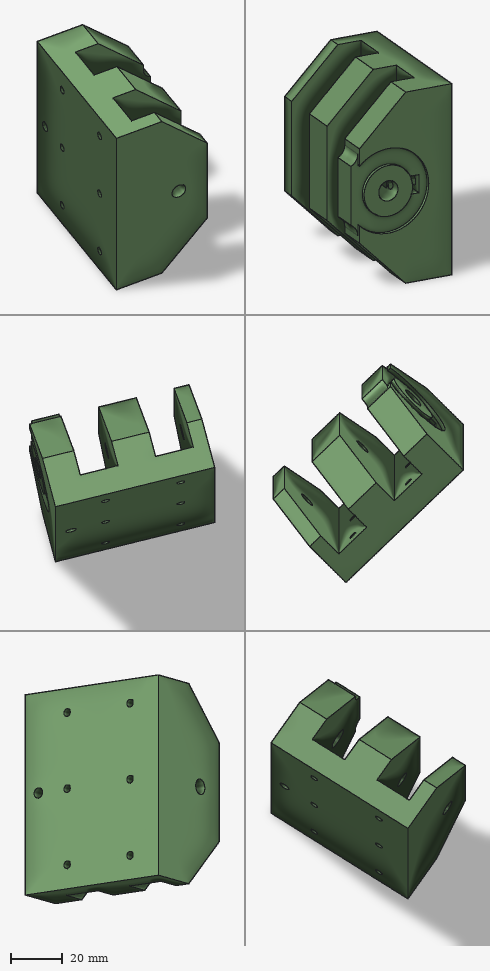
import cadquery as cq
import math

LENGTH = 63.5
WALL_TOP = 40.0
HEIGHT = 79.0
CHAMFER = 20.0
FLOOR = 10.0

CHANNEL_WIDTH = 15.0
END_WALL = 12.5
CHANNEL_PITCH = 30.0
CHANNEL_STARTS = [END_WALL, END_WALL + CHANNEL_PITCH]

AXIS_Y = 27.5
SHAFT_BORE_DIA = 6.0
HUB_BORE_DIA = 8.3
BORE_FLAT_OFFSET = 3.45

RECESS_DIA = 35.0
RECESS_DEPTH = 1.5
HUB_DIA = 21.0

LUG_HEIGHT = 3.0
LUG_TOP = WALL_TOP + LUG_HEIGHT
LUG_HALF_WIDTH = math.sqrt((RECESS_DIA / 2) ** 2 - (WALL_TOP - AXIS_Y) ** 2)
LUG_FLANK_RADIUS = 5.0

SCREW_DIA = 4.0
SCREW_X = END_WALL / 2
NUT_THICKNESS = 3.5
NUT_WIDTH = 7.5
NUT_POCKET_END = SCREW_X + NUT_WIDTH / 2

MOUNT_DIA = 3.0
MOUNT_PITCH_Z = 30.0


def box(x_range, y_range, z_range):
    """Axis-aligned box between the given limits."""
    (x0, x1), (y0, y1), (z0, z1) = x_range, y_range, z_range
    return cq.Workplane("XY").box(x1 - x0, y1 - y0, z1 - z0, centered=False).translate((x0, y0, z0))


def shaft_cylinder(diameter, x_start, x_end):
    """Cylinder on the shaft axis."""
    start = cq.Vector(x_start, AXIS_Y, 0)
    return cq.Workplane(cq.Solid.makeCylinder(diameter / 2, x_end - x_start, start, cq.Vector(1, 0, 0)))


def cross_hole(diameter, x, z, depth):
    """Cylinder running from the mounting face along +Y."""
    return cq.Workplane(cq.Solid.makeCylinder(diameter / 2, depth, cq.Vector(x, 0, z), cq.Vector(0, 1, 0)))


def make_body():
    """Block with both upper edges chamfered, cut by the channels."""
    half = HEIGHT / 2
    outline = [
        (0, -half),
        (WALL_TOP - CHAMFER, -half),
        (WALL_TOP, -half + CHAMFER),
        (WALL_TOP, half - CHAMFER),
        (WALL_TOP - CHAMFER, half),
        (0, half),
    ]
    body = cq.Workplane("YZ").polyline(outline).close().extrude(LENGTH)
    for start in CHANNEL_STARTS:
        body = body.cut(box((start, start + CHANNEL_WIDTH), (FLOOR, WALL_TOP), (-half, half)))
    return body


def make_lug():
    """Flat-topped lug whose sides sweep out to the wall top."""
    sweep = math.acos(1 - LUG_HEIGHT / LUG_FLANK_RADIUS)
    half_sweep = sweep / 2
    foot = LUG_HALF_WIDTH + LUG_FLANK_RADIUS * math.sin(sweep)
    arc_y = WALL_TOP + LUG_FLANK_RADIUS * (1 - math.cos(half_sweep))
    arc_z = foot - LUG_FLANK_RADIUS * math.sin(half_sweep)
    profile = (
        cq.Workplane("YZ", origin=(RECESS_DEPTH, 0, 0))
        .moveTo(LUG_TOP, -LUG_HALF_WIDTH)
        .lineTo(LUG_TOP, LUG_HALF_WIDTH)
        .threePointArc((arc_y, arc_z), (WALL_TOP, foot))
        .lineTo(WALL_TOP, -foot)
        .threePointArc((arc_y, -arc_z), (LUG_TOP, -LUG_HALF_WIDTH))
        .close()
    )
    return profile.extrude(END_WALL - RECESS_DEPTH)


def cut_recess(body):
    """Annular recess that leaves the hub standing on its floor."""
    recess = shaft_cylinder(RECESS_DIA, 0, RECESS_DEPTH)
    hub = shaft_cylinder(HUB_DIA, 0, RECESS_DEPTH)
    return body.cut(recess.cut(hub))


def cut_shaft_bores(body):
    """Wide bore in the thick end wall, narrow bore through the other walls.

    Past the clamp screw the wide bore is D-shaped, with a flat on the side of the mounting face.
    """
    radius = HUB_BORE_DIA / 2
    flat_start = SCREW_X + SCREW_DIA / 2
    flat_y = AXIS_Y - BORE_FLAT_OFFSET
    flat_land = box((flat_start, END_WALL), (AXIS_Y - radius, flat_y), (-radius, radius))
    hub_bore = shaft_cylinder(HUB_BORE_DIA, 0, END_WALL).cut(flat_land)
    return body.cut(hub_bore).cut(shaft_cylinder(SHAFT_BORE_DIA, END_WALL, LENGTH))


def cut_clamp_screw(body):
    """Screw hole from the mounting face into the shaft bore, and the nut pocket it crosses."""
    nut_top = AXIS_Y - HUB_DIA / 2
    nut_bottom = nut_top - NUT_THICKNESS
    half_width = NUT_WIDTH / 2
    pocket = box((0, NUT_POCKET_END), (nut_bottom, nut_top), (-half_width, half_width))
    return body.cut(cross_hole(SCREW_DIA, SCREW_X, 0, AXIS_Y)).cut(pocket)


def cut_mounting_holes(body):
    """Three holes along the middle of each channel floor."""
    for start in CHANNEL_STARTS:
        for row in (-1, 0, 1):
            body = body.cut(cross_hole(MOUNT_DIA, start + CHANNEL_WIDTH / 2, row * MOUNT_PITCH_Z, FLOOR))
    return body


result = make_body()
result = cut_recess(result)
result = result.union(make_lug())
result = cut_shaft_bores(result)
result = cut_clamp_screw(result)
result = cut_mounting_holes(result)